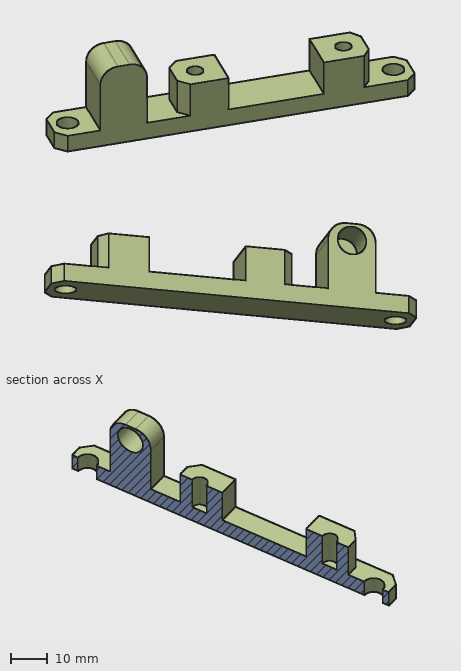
import cadquery as cq

width = 13.0
length = 102.9
plate_thickness = 5.0
corner_cut = 2.9
end_hole_diameter = 6.0
end_hole_y = 46.5

block_length = 13.8
block_height = 10.0
north_block_outer_y = 38.4
south_block_outer_y = -16.4
north_block_cut_along_y = 2.3
pilot_diameter = 4.5
north_pilot_y = 32.2
south_pilot_y = -10.1
pilot_depth = block_height

total_height = 24.5
lug_length = 13.4
lug_y = -32.5
lug_edge_radius = 5.0
bore_diameter = 8.0
bore_z = 19.6
bore_depth = 10.0


def make_plate():
    """Plate with four cut corners and a through hole near each end."""
    plate = cq.Workplane("XY").box(width, length, plate_thickness, centered=(True, True, False))
    plate = plate.edges("|Z").chamfer(corner_cut)
    holes = (
        cq.Workplane("XY")
        .pushPoints([(0, -end_hole_y), (0, end_hole_y)])
        .circle(end_hole_diameter / 2)
        .extrude(plate_thickness)
    )
    return plate.cut(holes)


def make_block(outer_y, outward, cut_along_y, pilot_y):
    """Block with cut outer corners and a blind pilot hole; outward is +1 or -1 along Y."""
    half_width = width / 2
    inner_y = outer_y - outward * block_length
    shoulder_y = outer_y - outward * cut_along_y
    block = (
        cq.Workplane("XY", origin=(0, 0, plate_thickness))
        .moveTo(-half_width, inner_y)
        .lineTo(half_width, inner_y)
        .lineTo(half_width, shoulder_y)
        .lineTo(half_width - corner_cut, outer_y)
        .lineTo(-half_width + corner_cut, outer_y)
        .lineTo(-half_width, shoulder_y)
        .close()
        .extrude(block_height)
    )
    pilot = (
        cq.Workplane("XY", origin=(0, pilot_y, plate_thickness + block_height))
        .circle(pilot_diameter / 2)
        .extrude(-pilot_depth)
    )
    return block.cut(pilot)


def make_lug():
    """Upright lug across the full width, rounded on top and bored from the -X face."""
    lug = (
        cq.Workplane("XY", origin=(0, lug_y, 0))
        .box(width, lug_length, total_height, centered=(True, True, False))
        .edges("|X and >Z")
        .fillet(lug_edge_radius)
    )
    bore = (
        cq.Workplane("YZ", origin=(-width / 2, lug_y, bore_z))
        .circle(bore_diameter / 2)
        .extrude(bore_depth)
    )
    return lug.cut(bore)


north_block = make_block(north_block_outer_y, 1, north_block_cut_along_y, north_pilot_y)
south_block = make_block(south_block_outer_y, -1, corner_cut, south_pilot_y)
result = make_plate().union(north_block).union(south_block).union(make_lug())